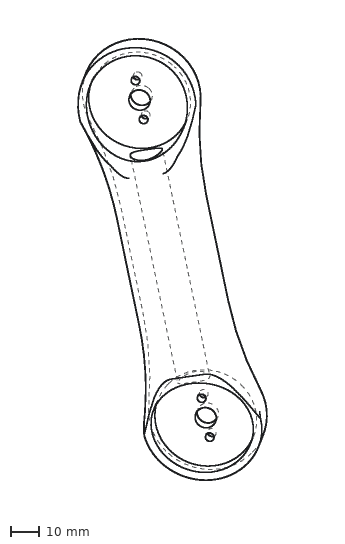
import cadquery as cq
import math

CENTER_DISTANCE = 119.9
CUP_DIAMETER = 36.0
WALL = 3.0
FLOOR = 5.3
END_RADIUS = CUP_DIAMETER / 2 + WALL
THICKNESS = 20.8
SIDE_HEIGHT = 9.9
WAIST_HALF_WIDTH = 15.5
SEAM_ANGLE = 16

SHAFT_DIAMETER = 7.5
SCREW_DIAMETER = 3.0
SCREW_SPACING = 14.7
BORE_DIAMETER = 11.5
BORE_HEIGHT = 12.5

UPPER_TIP_HEIGHT = 9.4
UPPER_AXIS_HEIGHT = 12.0
UPPER_INNER_HEIGHT = 19.2
UPPER_INNER_OFFSET = 17.9
UPPER_FLAT_OFFSET = 23.1
LOWER_TIP_HEIGHT = 11.7
LOWER_AXIS_HEIGHT = 14.5
LOWER_FLAT_OFFSET = 21.0

TILT = 11.3
TURN = 10

seam_x = END_RADIUS * math.cos(math.radians(SEAM_ANGLE))
seam_drop = END_RADIUS * math.sin(math.radians(SEAM_ANGLE))

waist_radius = (seam_x - WAIST_HALF_WIDTH) / (1 - math.cos(math.radians(SEAM_ANGLE)))
waist_top_z = -seam_drop - waist_radius * math.sin(math.radians(SEAM_ANGLE))
waist_bottom_z = -CENTER_DISTANCE - waist_top_z
straight_length = waist_top_z - waist_bottom_z


def make_blank():
    """Full-thickness dog-bone outline."""
    upper_z = -seam_drop
    lower_z = -CENTER_DISTANCE + seam_drop
    return (
        cq.Workplane("XZ")
        .moveTo(-seam_x, upper_z)
        .threePointArc((0, END_RADIUS), (seam_x, upper_z))
        .tangentArcPoint((WAIST_HALF_WIDTH, waist_top_z), relative=False)
        .lineTo(WAIST_HALF_WIDTH, waist_bottom_z)
        .tangentArcPoint((seam_x, lower_z), relative=False)
        .threePointArc((0, -CENTER_DISTANCE - END_RADIUS), (-seam_x, lower_z))
        .tangentArcPoint((-WAIST_HALF_WIDTH, waist_bottom_z), relative=False)
        .lineTo(-WAIST_HALF_WIDTH, waist_top_z)
        .tangentArcPoint((-seam_x, upper_z), relative=False)
        .close()
        .extrude(THICKNESS)
    )


def make_rounding_profile(wall_x, base_z):
    """Waste beyond a quarter-round that starts on the wall at wall_x and runs toward +X."""
    radius = THICKNESS - SIDE_HEIGHT
    margin = 1.6
    diagonal = radius * math.sqrt(0.5)
    outer_x = wall_x - margin - radius
    return (
        cq.Workplane("XY", origin=(0, 0, base_z))
        .moveTo(wall_x, -SIDE_HEIGHT)
        .threePointArc(
            (wall_x + radius - diagonal, -SIDE_HEIGHT - diagonal),
            (wall_x + radius, -THICKNESS),
        )
        .lineTo(wall_x + radius, -THICKNESS - margin)
        .lineTo(outer_x, -THICKNESS - margin)
        .lineTo(outer_x, -SIDE_HEIGHT)
        .close()
    )


def round_left_edge(body):
    """Round the front edge along the straight waist and both waist arcs on the -X side."""
    strip = make_rounding_profile(-WAIST_HALF_WIDTH, waist_bottom_z).extrude(straight_length)
    body = body.cut(strip)
    ring_center_x = -WAIST_HALF_WIDTH - waist_radius
    ring = make_rounding_profile(waist_radius, 0).revolve(360, (0, 0, 0), (0, 1, 0))
    for ring_z in (waist_top_z, waist_bottom_z):
        body = body.cut(ring.translate((ring_center_x, 0, ring_z)))
    return body


def make_side_envelope():
    """Side profile giving the sloping, hollow-curved rims."""
    lower_tip_z = -CENTER_DISTANCE - END_RADIUS
    return (
        cq.Workplane("YZ")
        .moveTo(0, END_RADIUS)
        .lineTo(-UPPER_TIP_HEIGHT, END_RADIUS)
        .threePointArc((-UPPER_AXIS_HEIGHT, 0), (-UPPER_INNER_HEIGHT, -UPPER_INNER_OFFSET))
        .lineTo(-THICKNESS, -UPPER_FLAT_OFFSET)
        .lineTo(-THICKNESS, -CENTER_DISTANCE + LOWER_FLAT_OFFSET)
        .threePointArc((-LOWER_AXIS_HEIGHT, -CENTER_DISTANCE), (-LOWER_TIP_HEIGHT, lower_tip_z))
        .lineTo(0, lower_tip_z)
        .close()
        .extrude(END_RADIUS, both=True)
    )


def cut_cup(body, axis_z):
    """Cut the cup, its shaft hole and the two screw holes."""
    back = cq.Workplane("XZ", origin=(0, 0, axis_z))
    cup = back.workplane(offset=FLOOR).circle(CUP_DIAMETER / 2).extrude(THICKNESS)
    shaft = back.circle(SHAFT_DIAMETER / 2).extrude(THICKNESS)
    screws = (
        back.pushPoints([(0, SCREW_SPACING / 2), (0, -SCREW_SPACING / 2)])
        .circle(SCREW_DIAMETER / 2)
        .extrude(THICKNESS)
    )
    return body.cut(cup).cut(shaft).cut(screws)


body = make_blank()
for _ in range(2):
    body = round_left_edge(body).mirror("YZ")
body = body.intersect(make_side_envelope())
for axis_z in (0, -CENTER_DISTANCE):
    body = cut_cup(body, axis_z)

bore = (
    cq.Workplane("XY", origin=(0, -BORE_HEIGHT, -CENTER_DISTANCE))
    .circle(BORE_DIAMETER / 2)
    .extrude(CENTER_DISTANCE)
)
body = body.cut(bore)

result = body.rotate((0, 0, 0), (0, 1, 0), -TILT).rotate((0, 0, 0), (0, 0, 1), TURN)